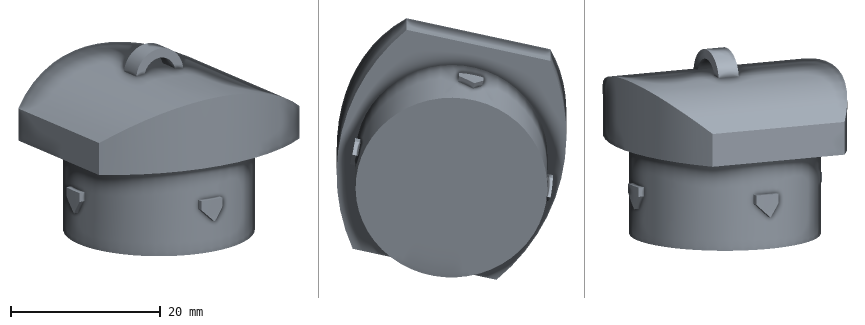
import cadquery as cq

plug_radius = 12.8
plug_height = 12.5

cap_length = 32.0
cap_width = 30.05
cap_height = 9.63
arc_rise = 5.2
end_half_width = cap_width / 2 - arc_rise
cap_top = plug_height + cap_height
crown_edge = cap_top - arc_rise

ring_outer_radius = 3.78
ring_inner_radius = 2.5
ring_width = 3.0
ring_left = -2.8
ring_top = 25.2
ring_center = ring_top - ring_outer_radius

tab_count = 4
tab_outer_radius = 13.57
tab_left = -2.05
tab_right = 1.25
tab_top = 7.52
tab_shoulder = 6.27
tab_tip = 4.4


def make_cap():
    """Barrel-shaped plan cut by an arched crown profile."""
    half_length = cap_length / 2
    half_width = cap_width / 2
    plan = (
        cq.Workplane("XY")
        .workplane(offset=plug_height)
        .moveTo(-end_half_width, -half_length)
        .lineTo(end_half_width, -half_length)
        .threePointArc((half_width, 0), (end_half_width, half_length))
        .lineTo(-end_half_width, half_length)
        .threePointArc((-half_width, 0), (-end_half_width, -half_length))
        .close()
        .extrude(cap_height)
    )
    crown = (
        cq.Workplane("YZ")
        .moveTo(-half_length, plug_height)
        .lineTo(half_length, plug_height)
        .lineTo(half_length, crown_edge)
        .threePointArc((0, cap_top), (-half_length, crown_edge))
        .close()
        .extrude(half_width, both=True)
    )
    return plan.intersect(crown)


def make_ring():
    """Full ring; its lower part is buried in the cap."""
    return (
        cq.Workplane("YZ")
        .workplane(offset=ring_left)
        .center(0, ring_center)
        .circle(ring_outer_radius)
        .circle(ring_inner_radius)
        .extrude(ring_width)
    )


def make_tab():
    """Tab on the -Y side, with an outer face concentric with the plug."""
    prism = (
        cq.Workplane("XZ")
        .polyline([
            (tab_left, tab_top),
            (tab_right, tab_top),
            (tab_right, tab_shoulder),
            (0, tab_tip),
            (tab_left, tab_shoulder),
        ])
        .close()
        .extrude(tab_outer_radius)
    )
    envelope = cq.Workplane("XY").circle(tab_outer_radius).extrude(plug_height)
    return prism.intersect(envelope)


result = cq.Workplane("XY").circle(plug_radius).extrude(plug_height)
result = result.union(make_cap()).union(make_ring())
tab = make_tab()
for index in range(tab_count):
    result = result.union(tab.rotate((0, 0, 0), (0, 0, 1), index * 360 / tab_count))